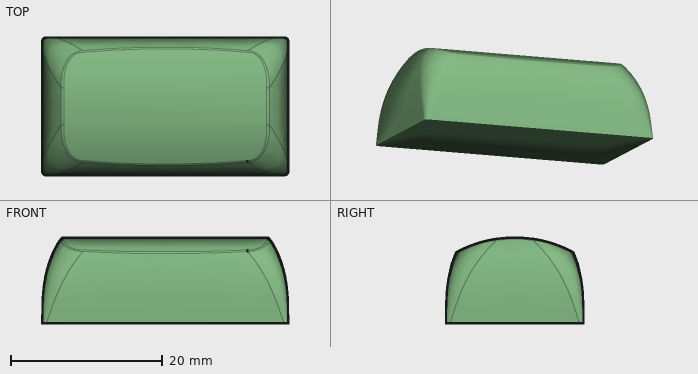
import cadquery as cq
import math

LENGTH = 32.56
WIDTH = 18.23
HEIGHT = 11.37

END_LEAN = 2.6
SIDE_LEAN = 2.4
END_BOW = 0.17
SIDE_BOW = 0.6
BASE_CORNER_RADIUS = 0.55
TOP_CORNER_REACH_X = 4.4
TOP_CORNER_REACH_Y = 4.1
CROWN_RADIUS = 16.1
RIM_FILLET = 0.5

SECTION_COUNT = 6
LOFT_OVERRUN = 0.6

QUARTER_HANDLE = 4 / 3 * (math.sqrt(2) - 1)


def rise(z):
    """Cubic growth of lean and bow: zero and vertical at the base, one at crown height."""
    return (z / HEIGHT) ** 3


def corner_reach(top_reach, z):
    """Corner size at height z, growing evenly from the base radius."""
    return BASE_CORNER_RADIUS + (top_reach - BASE_CORNER_RADIUS) * z / HEIGHT


def wall_edge(start, middle, end):
    """Bowed wall line through three points, straight where it has no bow."""
    if start.z == 0:
        return cq.Edge.makeLine(start, end)
    return cq.Edge.makeThreePointArc(start, middle, end)


def corner_edge(start, apex, end):
    """Quarter ellipse from start to end; apex is the sharp corner it rounds off."""
    start_handle = start + (apex - start) * QUARTER_HANDLE
    end_handle = end + (apex - end) * QUARTER_HANDLE
    return cq.Edge.makeBezier([start, start_handle, end_handle, end])


def wall_section(z):
    """Closed outline at height z: four bowed walls joined by four rounded corners."""
    middle_x = LENGTH / 2 - END_LEAN * rise(z)
    middle_y = WIDTH / 2 - SIDE_LEAN * rise(z)
    edge_x = middle_x - END_BOW * rise(z)
    edge_y = middle_y - SIDE_BOW * rise(z)
    inner_x = edge_x - corner_reach(TOP_CORNER_REACH_X, z)
    inner_y = edge_y - corner_reach(TOP_CORNER_REACH_Y, z)

    def at(x, y):
        return cq.Vector(x, y, z)

    return cq.Wire.assembleEdges([
        wall_edge(at(-inner_x, -edge_y), at(0, -middle_y), at(inner_x, -edge_y)),
        corner_edge(at(inner_x, -edge_y), at(edge_x, -edge_y), at(edge_x, -inner_y)),
        wall_edge(at(edge_x, -inner_y), at(middle_x, 0), at(edge_x, inner_y)),
        corner_edge(at(edge_x, inner_y), at(edge_x, edge_y), at(inner_x, edge_y)),
        wall_edge(at(inner_x, edge_y), at(0, middle_y), at(-inner_x, edge_y)),
        corner_edge(at(-inner_x, edge_y), at(-edge_x, edge_y), at(-edge_x, inner_y)),
        wall_edge(at(-edge_x, inner_y), at(-middle_x, 0), at(-edge_x, -inner_y)),
        corner_edge(at(-edge_x, -inner_y), at(-edge_x, -edge_y), at(-inner_x, -edge_y)),
    ])


def make_walls():
    """Smooth loft through evenly spaced sections."""
    step = (HEIGHT + LOFT_OVERRUN) / (SECTION_COUNT - 1)
    sections = [wall_section(index * step) for index in range(SECTION_COUNT)]
    return cq.Workplane(cq.Solid.makeLoft(sections))


def make_crown():
    """Cylinder along X whose highest line lies at the crown height."""
    return (
        cq.Workplane("YZ")
        .center(0, HEIGHT - CROWN_RADIUS)
        .circle(CROWN_RADIUS)
        .extrude(LENGTH / 2, both=True)
    )


body = make_walls().intersect(make_crown())
result = body.faces(">Z").edges().fillet(RIM_FILLET)